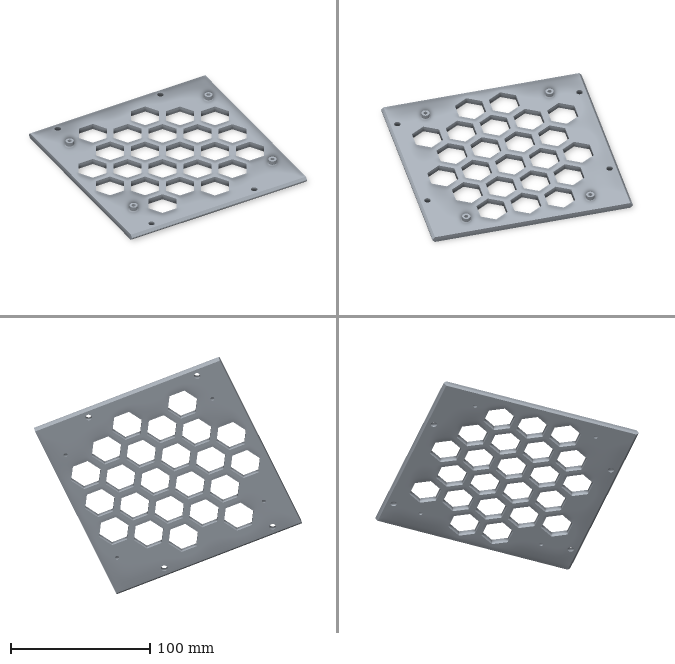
import cadquery as cq
import math

plate_width = 148.6
plate_depth = 144.9
total_height = 8.0
plate_thickness = 4.5
edge_bevel = 1.8
edge_flat = 0.9

hex_radius = 11.6
hex_pitch_x = 25.1
hex_row_pitch = 21.7
hex_centre_y = 10.0
hex_rows = [
    (2, 3, -1.0),
    (1, 4, -1.5),
    (0, 5, -2.0),
    (-1, 4, -1.5),
    (-2, 5, -2.0),
    (-3, 2, -0.5),
]

mount_hole_diameter = 4.6
mount_spacing_x = 135.2
mount_spacing_y = 85.0
mount_centre_y = -10.0

standoff_diameter = 6.0
standoff_bore = 2.8
standoff_height = total_height - plate_thickness
flare_width = 1.0
flare_height = 0.6
standoff_spacing_x = 92.1
standoff_spacing_y = 115.0
standoff_centre_y = 2.5


def corner_points(spacing_x, spacing_y, centre_y):
    """Four corners of a rectangle centred on X = 0."""
    return [
        (x * spacing_x / 2, centre_y + y * spacing_y / 2)
        for x in (-1, 1)
        for y in (-1, 1)
    ]


def make_plate():
    """Plate with both side edges bevelled to a narrow flat at mid thickness."""
    side = plate_width / 2
    shoulder = side - edge_bevel
    flat_bottom = (plate_thickness - edge_flat) / 2
    flat_top = flat_bottom + edge_flat
    outline = [
        (-shoulder, 0),
        (shoulder, 0),
        (side, flat_bottom),
        (side, flat_top),
        (shoulder, plate_thickness),
        (-shoulder, plate_thickness),
        (-side, flat_top),
        (-side, flat_bottom),
    ]
    return cq.Workplane("XZ").polyline(outline).close().extrude(plate_depth / 2, both=True)


def make_hexagons():
    """Prisms for the honeycomb of openings."""
    centres = [
        ((first_column + i) * hex_pitch_x, hex_centre_y + row * hex_row_pitch)
        for row, count, first_column in hex_rows
        for i in range(count)
    ]
    corners = [
        (hex_radius * math.sin(i * math.pi / 3), hex_radius * math.cos(i * math.pi / 3))
        for i in range(6)
    ]
    hexagon = cq.Workplane("XY").polyline(corners).close().extrude(plate_thickness).val()
    return cq.Workplane("XY").pushPoints(centres).eachpoint(lambda place: hexagon.moved(place))


def make_standoffs(centres):
    """Round posts that flare out in a low cone at the plate."""
    radius = standoff_diameter / 2
    profile = (
        cq.Workplane("XZ")
        .lineTo(radius + flare_width, 0)
        .lineTo(radius, flare_height)
        .lineTo(radius, standoff_height)
        .lineTo(0, standoff_height)
        .close()
    )
    standoff = profile.revolve(360, (0, 0, 0), (0, 1, 0)).val()
    top_face = cq.Workplane("XY", origin=(0, 0, plate_thickness))
    return top_face.pushPoints(centres).eachpoint(lambda place: standoff.moved(place))


def make_drills(centres, diameter):
    """Cylinders that cut holes through the full height of the part."""
    return cq.Workplane("XY").pushPoints(centres).circle(diameter / 2).extrude(total_height)


mount_centres = corner_points(mount_spacing_x, mount_spacing_y, mount_centre_y)
standoff_centres = corner_points(standoff_spacing_x, standoff_spacing_y, standoff_centre_y)

result = (
    make_plate()
    .cut(make_hexagons())
    .union(make_standoffs(standoff_centres))
    .cut(make_drills(mount_centres, mount_hole_diameter))
    .cut(make_drills(standoff_centres, standoff_bore))
)